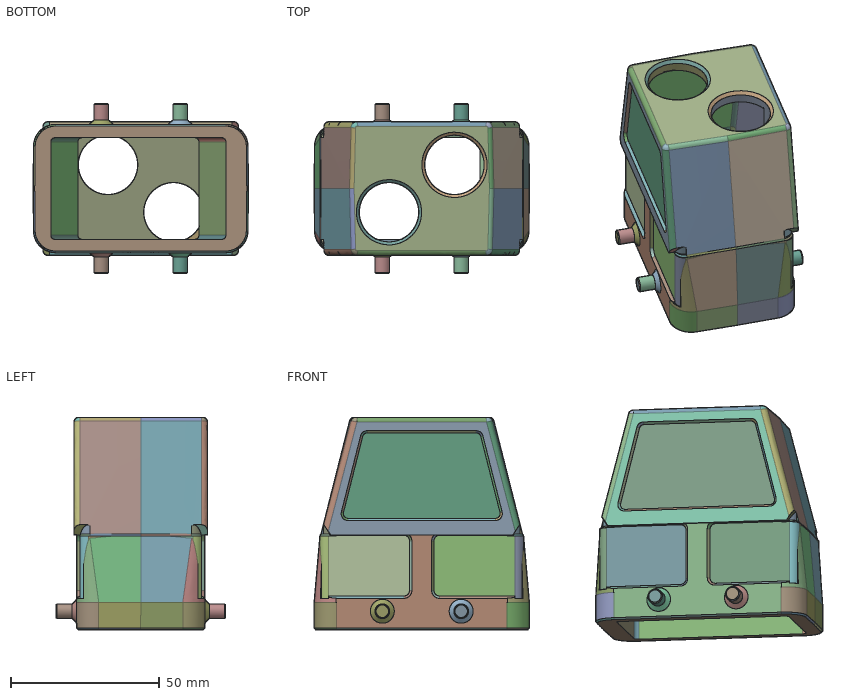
import cadquery as cq

LENGTH = 72.6
WIDTH_OVER_PINS = 57.2
HEIGHT = 71.6

BODY_HALF_X = LENGTH / 2
BODY_HALF_Y = 21.6
BODY_BOW = 0.15
BODY_CORNER_R = 7.5
SKIRT_TOP_Z = 9.2
SHOULDER_Z = 31.65
SHOULDER_HALF_X = 34.35
SHOULDER_CORNER_R = 3.35
SHOULDER_BEVEL_INSET = 0.35
SHOULDER_BEVEL_RISE = 0.65
BOTTOM_CHAMFER = 0.6

HOOD_BOTTOM_Z = 31.95
HOOD_HALF_Y = 22.5
HOOD_BOTTOM_HALF_X = 34.05
HOOD_TOP_HALF_X = 24.0
HOOD_BOTTOM_BOW = 0.15
HOOD_TOP_BOW = 0.6
HOOD_CORNER_R = 2.0
HOOD_TOP_R = 1.6
HOOD_LEAN = (HOOD_BOTTOM_HALF_X - HOOD_TOP_HALF_X) / (HEIGHT - HOOD_BOTTOM_Z)

NOTCH_HALF_Y = 17.1
NOTCH_TOP_Z = 35.6
NOTCH_INNER_HALF_X = 30.7
NOTCH_OUTER_HALF_X = HOOD_BOTTOM_HALF_X - HOOD_LEAN * (NOTCH_TOP_Z - HOOD_BOTTOM_Z)

WALL_FLARE_ANGLE = 36.0
PANEL_DEPTH = 1.1
PANEL_INNER_X = 3.35
PANEL_BOTTOM_Z = 10.6
PANEL_TOP_Z = 32.6
PANEL_CORNER_R = 2.6
CORE_HALF_X = 34.3
CORE_HALF_Y = BODY_HALF_Y - PANEL_DEPTH
CORE_CORNER_R = 2.9
NECK_CORNER_R = CORE_HALF_Y - NOTCH_HALF_Y
CORNER_CUT_HALF_Y = 19.25

WINDOW_DEPTH = 1.0
WINDOW_BOTTOM_Z = 36.8
WINDOW_TOP_Z = 67.1
WINDOW_BOTTOM_HALF_X = 27.8
WINDOW_TOP_HALF_X = WINDOW_BOTTOM_HALF_X - HOOD_LEAN * (WINDOW_TOP_Z - WINDOW_BOTTOM_Z)
WINDOW_CORNER_R = 2.3

PIN_X = 13.3
PIN_Z = 6.25
PIN_D = 4.95
PIN_COLLAR_D = 8.05
PIN_COLLAR_LENGTH = 1.45
PIN_CHAMFER = 0.35

ENTRY_X = 11.0
ENTRY_Y = 8.0
ENTRY_D = 20.0
ENTRY_CHAMFER = 1.0
ENTRY_DEPTH = 11.6

ROOF = 4.0
ROOF_Z = HEIGHT - ROOF
CAVITY_HALF_Y = 17.1
CAVITY_ROOF_RIGHT_X = 19.6
CAVITY_ROOF_LEFT_X = -21.2
CAVITY_SPREAD = HOOD_LEAN * (ROOF_Z - SHOULDER_Z)
CAVITY_CORNER_R = 1.45


def outline(z, half_x, half_y, bow, corner_r):
    """Closed wire at height z: rectangle with rounded corners and end walls bulging at Y = 0."""
    side_x = half_x - bow
    flat_x = side_x - corner_r
    flat_y = half_y - corner_r
    diagonal = corner_r * 0.5 ** 0.5
    return (
        cq.Workplane("XY", origin=(0, 0, z))
        .moveTo(-flat_x, half_y)
        .lineTo(flat_x, half_y)
        .threePointArc((flat_x + diagonal, flat_y + diagonal), (side_x, flat_y))
        .lineTo(half_x, 0)
        .lineTo(side_x, -flat_y)
        .threePointArc((flat_x + diagonal, -flat_y - diagonal), (flat_x, -half_y))
        .lineTo(-flat_x, -half_y)
        .threePointArc((-flat_x - diagonal, -flat_y - diagonal), (-side_x, -flat_y))
        .lineTo(-half_x, 0)
        .lineTo(-side_x, flat_y)
        .threePointArc((-flat_x - diagonal, flat_y + diagonal), (-flat_x, half_y))
        .close()
        .val()
    )


def ruled_block(lower_wire, upper_wire):
    """Solid with straight walls between two outlines."""
    return cq.Workplane(cq.Solid.makeLoft([lower_wire, upper_wire], True))


def both_ends(shape):
    """The shape together with its mirror image across X = 0."""
    return shape.union(shape.mirror("YZ"))


def both_sides(shape):
    """The shape together with its mirror image across Y = 0."""
    return shape.union(shape.mirror("XZ"))


def make_panel_cutter():
    """Right-hand recess on the -Y side, running out past the end wall."""
    inner = PANEL_INNER_X
    outer = BODY_HALF_X + PANEL_INNER_X
    outer_face = (
        cq.Sketch()
        .push([((inner + outer) / 2, (PANEL_BOTTOM_Z + PANEL_TOP_Z) / 2)])
        .rect(outer - inner, PANEL_TOP_Z - PANEL_BOTTOM_Z)
        .reset()
        .vertices()
        .fillet(PANEL_CORNER_R)
    )
    return (
        cq.Workplane("XZ", origin=(0, -BODY_HALF_Y, 0))
        .placeSketch(outer_face)
        .extrude(-PANEL_DEPTH, taper=WALL_FLARE_ANGLE)
    )


def make_corner_cutter():
    """Cuts the leaning corner at +X, -Y back to the recessed core."""
    inner_x = CORE_HALF_X - CORE_CORNER_R
    return cq.Workplane("XY").box(
        BODY_HALF_X - inner_x,
        BODY_HALF_Y - CORNER_CUT_HALF_Y,
        SHOULDER_Z - PANEL_BOTTOM_Z,
        centered=False,
    ).translate((inner_x, -BODY_HALF_Y, PANEL_BOTTOM_Z))


def make_core(half_x, corner_r, bottom_z, top_z):
    """Rounded block as wide as the space between the recessed panels."""
    return (
        cq.Workplane("XY", origin=(0, 0, bottom_z))
        .rect(2 * half_x, 2 * CORE_HALF_Y)
        .extrude(top_z - bottom_z)
        .edges("|Z")
        .fillet(corner_r)
    )


def make_lower_body():
    """Skirt and leaning walls with four recessed panels, one at each end of both long sides."""
    skirt_wire = outline(0, BODY_HALF_X, BODY_HALF_Y, BODY_BOW, BODY_CORNER_R)
    skirt = (
        cq.Workplane(cq.Solid.extrudeLinear(skirt_wire, [], cq.Vector(0, 0, SKIRT_TOP_Z)))
        .faces("<Z")
        .chamfer(BOTTOM_CHAMFER)
    )
    shoulder = outline(SHOULDER_Z, SHOULDER_HALF_X, CORE_HALF_Y, BODY_BOW, SHOULDER_CORNER_R)
    leaning_walls = ruled_block(skirt_wire.translate(cq.Vector(0, 0, SKIRT_TOP_Z)), shoulder)
    long_sides = (
        cq.Workplane("XY", origin=(0, 0, SKIRT_TOP_Z))
        .rect(2 * (BODY_HALF_X - BODY_CORNER_R), 2 * BODY_HALF_Y)
        .extrude(HOOD_BOTTOM_Z - SKIRT_TOP_Z)
    )
    panels = both_sides(both_ends(make_panel_cutter().union(make_corner_cutter())))
    core = make_core(CORE_HALF_X, CORE_CORNER_R, SKIRT_TOP_Z, SHOULDER_Z)
    bevel_top = outline(
        SHOULDER_Z + SHOULDER_BEVEL_RISE,
        SHOULDER_HALF_X - SHOULDER_BEVEL_INSET,
        CORE_HALF_Y - SHOULDER_BEVEL_INSET,
        BODY_BOW,
        SHOULDER_CORNER_R,
    )
    shoulder_bevel = ruled_block(shoulder, bevel_top)
    walls = leaning_walls.union(long_sides).cut(panels)
    return skirt.union(walls).union(core).union(shoulder_bevel)


def hood_outline(z, half_x, bow):
    """Closed wire at height z: sharp-cornered rectangle with end walls bulging at Y = 0."""
    side_x = half_x - bow
    return (
        cq.Workplane("XY", origin=(0, 0, z))
        .polyline([
            (-side_x, HOOD_HALF_Y),
            (side_x, HOOD_HALF_Y),
            (half_x, 0),
            (side_x, -HOOD_HALF_Y),
            (-side_x, -HOOD_HALF_Y),
            (-half_x, 0),
        ])
        .close()
        .val()
    )


def make_hood():
    """Tapered box with rounded edges, before its corners are trimmed."""
    hood = ruled_block(
        hood_outline(HOOD_BOTTOM_Z, HOOD_BOTTOM_HALF_X, HOOD_BOTTOM_BOW),
        hood_outline(HEIGHT, HOOD_TOP_HALF_X, HOOD_TOP_BOW),
    )
    corner_edges = hood.edges("not(#Z)").filter(lambda edge: abs(edge.Center().y) > HOOD_HALF_Y / 2)
    return corner_edges.fillet(HOOD_CORNER_R).faces(">Z").edges().fillet(HOOD_TOP_R)


def make_corner_notch():
    """Sloping cut under the hood corner at +X, -Y."""
    overshoot = LENGTH / 2
    return (
        cq.Workplane("XZ", origin=(0, -NOTCH_HALF_Y, 0))
        .moveTo(NOTCH_INNER_HALF_X, HOOD_BOTTOM_Z)
        .lineTo(NOTCH_OUTER_HALF_X, NOTCH_TOP_Z)
        .line(overshoot, 0)
        .lineTo(NOTCH_OUTER_HALF_X + overshoot, HOOD_BOTTOM_Z)
        .close()
        .extrude(HOOD_HALF_Y)
    )


def make_window_cutter():
    """Trapezoidal recess on the -Y side of the hood."""
    outer_face = (
        cq.Sketch()
        .polygon([
            (-WINDOW_BOTTOM_HALF_X, WINDOW_BOTTOM_Z),
            (WINDOW_BOTTOM_HALF_X, WINDOW_BOTTOM_Z),
            (WINDOW_TOP_HALF_X, WINDOW_TOP_Z),
            (-WINDOW_TOP_HALF_X, WINDOW_TOP_Z),
            (-WINDOW_BOTTOM_HALF_X, WINDOW_BOTTOM_Z),
        ])
        .vertices()
        .fillet(WINDOW_CORNER_R)
    )
    return (
        cq.Workplane("XZ", origin=(0, -HOOD_HALF_Y, 0))
        .placeSketch(outer_face)
        .extrude(-WINDOW_DEPTH, taper=WALL_FLARE_ANGLE)
    )


def make_pin():
    """Right-hand locking pin on the -Y side, with a conical collar at its root."""
    root_y = CORE_HALF_Y
    tip_y = WIDTH_OVER_PINS / 2
    collar_y = BODY_HALF_Y + PIN_COLLAR_LENGTH
    profile = (
        cq.Workplane("XY", origin=(PIN_X, 0, PIN_Z))
        .moveTo(0, -root_y)
        .lineTo(PIN_COLLAR_D / 2, -root_y)
        .lineTo(PIN_COLLAR_D / 2, -BODY_HALF_Y)
        .lineTo(PIN_D / 2, -collar_y)
        .lineTo(PIN_D / 2, -tip_y + PIN_CHAMFER)
        .lineTo(PIN_D / 2 - PIN_CHAMFER, -tip_y)
        .lineTo(0, -tip_y)
        .close()
    )
    return profile.revolve(360, (0, 0, 0), (0, 1, 0))


def make_cavity():
    """Open-bottomed hollow: straight end walls up to the shoulder, then leaning with the hood."""
    cavity = (
        cq.Workplane("XZ", origin=(0, CAVITY_HALF_Y, 0))
        .moveTo(CAVITY_ROOF_LEFT_X - CAVITY_SPREAD, 0)
        .lineTo(CAVITY_ROOF_RIGHT_X + CAVITY_SPREAD, 0)
        .lineTo(CAVITY_ROOF_RIGHT_X + CAVITY_SPREAD, SHOULDER_Z)
        .lineTo(CAVITY_ROOF_RIGHT_X, ROOF_Z)
        .lineTo(CAVITY_ROOF_LEFT_X, ROOF_Z)
        .lineTo(CAVITY_ROOF_LEFT_X - CAVITY_SPREAD, SHOULDER_Z)
        .close()
        .extrude(2 * CAVITY_HALF_Y)
    )
    return cavity.edges("not(|X or |Y)").fillet(CAVITY_CORNER_R)


def make_entry(x, y):
    """Chamfered bore through the roof, continued downwards between the cavity end walls."""
    bore = cq.Workplane("XY", origin=(x, y, ROOF_Z)).circle(ENTRY_D / 2).extrude(ROOF)
    chamfer = cq.Workplane(
        cq.Solid.makeCone(
            ENTRY_D / 2,
            ENTRY_D / 2 + ENTRY_CHAMFER,
            ENTRY_CHAMFER,
            cq.Vector(x, y, HEIGHT - ENTRY_CHAMFER),
        )
    )
    clearance_depth = ENTRY_DEPTH - ROOF
    clearance = (
        cq.Workplane("XY", origin=(x, y, HEIGHT - ENTRY_DEPTH))
        .circle(ENTRY_D / 2)
        .extrude(clearance_depth)
    )
    between_end_walls = (
        cq.Workplane("XY", origin=(0, 0, HEIGHT - ENTRY_DEPTH))
        .center((CAVITY_ROOF_LEFT_X + CAVITY_ROOF_RIGHT_X) / 2, 0)
        .rect(CAVITY_ROOF_RIGHT_X - CAVITY_ROOF_LEFT_X, 2 * BODY_HALF_Y)
        .extrude(clearance_depth)
    )
    return bore.union(chamfer).union(clearance.intersect(between_end_walls))


hood = make_hood()
neck = make_core(NOTCH_OUTER_HALF_X, NECK_CORNER_R, SHOULDER_Z, NOTCH_TOP_Z)
neck = neck.intersect(hood)
hood = hood.cut(both_sides(both_ends(make_corner_notch())))
hood = hood.cut(both_sides(make_window_cutter()))

result = make_lower_body().union(neck).union(hood)
result = result.union(both_sides(both_ends(make_pin())))
result = result.cut(make_cavity())
for side in (-1, 1):
    result = result.cut(make_entry(side * ENTRY_X, side * ENTRY_Y))